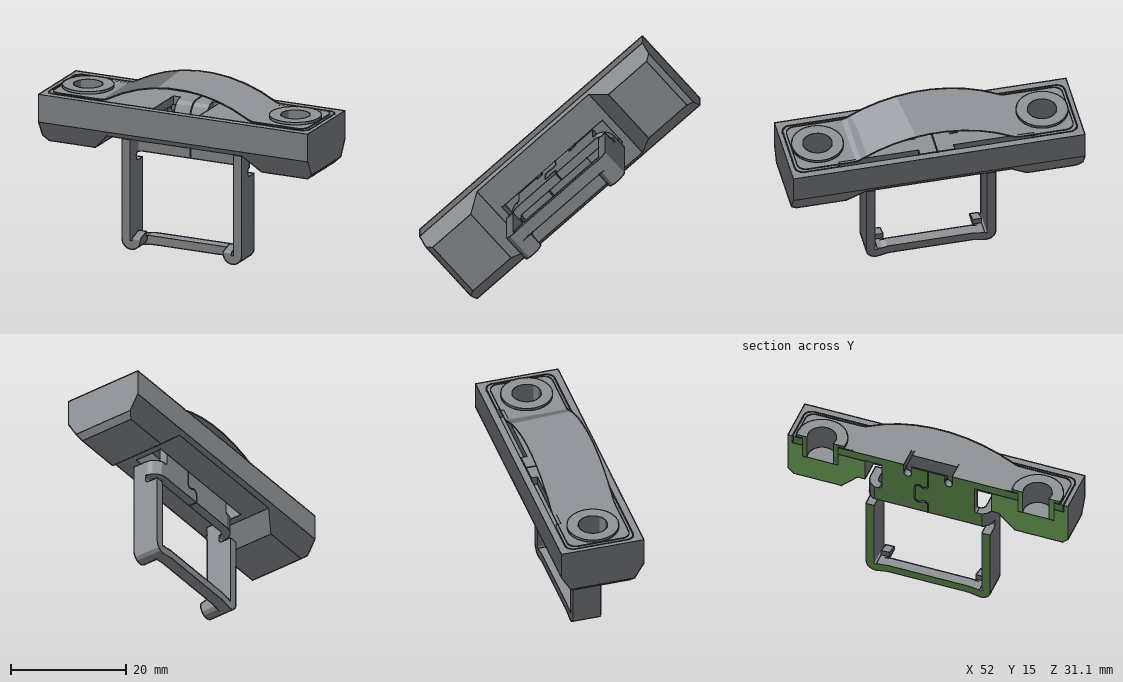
import cadquery as cq
import math


LENGTH = 52.0
WIDTH = 15.0
SIDE_DEPTH = 5.05
FOOT_DEPTH = 8.95
BRIDGE_DEPTH = 5.95
BOTTOM_WIDTH = 10.5
END_CHAMFER = 1.05
FOOT_INNER_X = 16.05
RECESS_LENGTH = 50.45
RECESS_WIDTH = 12.5
RECESS_RADIUS = 1.55
FIT_GAP = 0.15

SHEET = 1.55
BEND_INNER = 0.95
BEND_OUTER = BEND_INNER + SHEET
WINDOW_HALF = 4.45
SIDE_CUT_HALF = 17.3
SIDE_CUT_Y = 5.0
CUT_CORNER_RADIUS = 0.6
TONGUE_HALF = 3.1
WALL_BACK = 1.05
WALL_FRONT = WALL_BACK - SHEET
WALL_BOTTOM = -10.05
WALL_HALF = 9.05
UPPER_WALL_HALF = 8.65
RELIEF_RADIUS = 0.45
WALL_TOP = -SHEET
TONGUE_RELIEF_DEPTH = -2.55
LEG_OUTER = WALL_HALF + BEND_OUTER
LEG_INNER = LEG_OUTER - SHEET
LEG_FRONT = -4.0
LEG_TOP = -7.05
LEG_NOTCH = 1.55
LEG_NOTCH_RADIUS = 0.6

HOOK_RADIUS = 1.75
HOOK_GAP_RADIUS = HOOK_RADIUS - SHEET
CLIP_BOTTOM = -27.05
HOOK_Z = CLIP_BOTTOM + HOOK_RADIUS
HOOK_X = LEG_OUTER - HOOK_RADIUS
TIP_OUTER = HOOK_X - HOOK_GAP_RADIUS
TIP_INNER = TIP_OUTER - SHEET
TIP_TOP = -24.25
TIP_BACK = -1.45
TIP_FRONT_TOP = -24.95
TIP_NOSE_RADIUS = 0.35
BAR_TOP = -25.05
BAR_HALF = 7.4
BAR_FRONT = -1.05

SEAM_STEP = 2.45
SEAM_ARC_RADIUS = 0.75
SEAM_UPPER_Z = -4.25
SEAM_LOWER_Z = -7.8

SLOT_HALF = LEG_OUTER + FIT_GAP
SLOT_FRONT = -3.35
SLOT_BACK = WALL_BACK + BEND_INNER

SPRING_TOP = 4.05
SPRING_SHEET = 0.15
SPRING_WIDTH = 11.25
SPRING_HALF = 24.6
SPRING_CORNER = 1.55
ARCH_HALF = 13.45
ARCH_START_Z = 0.5

BUSHING_X = 20.0
FLANGE_RADIUS = 4.5
FLANGE_TOP = 0.6
SHANK_RADIUS = 3.4
BORE_RADIUS = 2.55
BUSHING_BOTTOM = -4.15


def box(x0, x1, y0, y1, z0, z1):
    """Box given by its limits."""
    return cq.Workplane("XY").box(x1 - x0, y1 - y0, z1 - z0, centered=False).translate((x0, y0, z0))


def on_xz(y):
    """XZ work plane at the given Y, facing -Y; a negative extrusion goes toward +Y."""
    return cq.Workplane(cq.Plane(origin=(0, y, 0), xDir=(1, 0, 0), normal=(0, -1, 0)))


def quarter_bend(inner, outer, length):
    """Quarter tube along Z from Z = 0, around the origin, in the +X +Y quadrant."""
    ring = cq.Workplane("XY").circle(outer).circle(inner).extrude(length)
    return ring.intersect(box(0, outer, 0, outer, 0, length))


def both_sides(solid):
    """The solid and its mirror image across X = 0, as one."""
    return solid.union(solid.mirror("YZ"))


def bushing_shape(x, bore):
    """Flanged bushing; without its bore it is also the cutter for its seat."""
    shank = cq.Workplane("XY").workplane(offset=BUSHING_BOTTOM).circle(SHANK_RADIUS)
    shank = shank.extrude(FLANGE_TOP - BUSHING_BOTTOM)
    flange = cq.Workplane("XY").workplane(offset=SPRING_SHEET).circle(FLANGE_RADIUS)
    shape = shank.union(flange.extrude(FLANGE_TOP - SPRING_SHEET))
    if bore:
        hole = cq.Workplane("XY").workplane(offset=BUSHING_BOTTOM).circle(BORE_RADIUS)
        shape = shape.cut(hole.extrude(FLANGE_TOP - BUSHING_BOTTOM))
    return shape.translate((x, 0, 0))


def cut_bushing_seats(body):
    for side in (-1, 1):
        body = body.cut(bushing_shape(side * BUSHING_X, bore=False))
    return body


def make_housing():
    half = LENGTH / 2
    foot_rise = FOOT_DEPTH - BRIDGE_DEPTH
    right_outline = [
        (half, 0),
        (half, -FOOT_DEPTH + END_CHAMFER),
        (half - END_CHAMFER, -FOOT_DEPTH),
        (FOOT_INNER_X, -FOOT_DEPTH),
        (FOOT_INNER_X - foot_rise, -BRIDGE_DEPTH),
    ]
    left_outline = [(-x, z) for x, z in reversed(right_outline)]
    body = on_xz(-WIDTH / 2).polyline(right_outline + left_outline).close().extrude(-WIDTH)
    cross_section = [
        (-WIDTH / 2, 0),
        (WIDTH / 2, 0),
        (WIDTH / 2, -SIDE_DEPTH),
        (BOTTOM_WIDTH / 2, -FOOT_DEPTH),
        (-BOTTOM_WIDTH / 2, -FOOT_DEPTH),
        (-WIDTH / 2, -SIDE_DEPTH),
    ]
    tapered = cq.Workplane("YZ").polyline(cross_section).close().extrude(half, both=True)
    body = body.intersect(tapered)
    recess = box(-RECESS_LENGTH / 2, RECESS_LENGTH / 2, -RECESS_WIDTH / 2, RECESS_WIDTH / 2, -SHEET, 0)
    body = body.cut(recess.edges("|Z").fillet(RECESS_RADIUS))
    body = body.cut(box(-SLOT_HALF, SLOT_HALF, SLOT_FRONT, SLOT_BACK, -FOOT_DEPTH, 0))
    return cut_bushing_seats(body)


def make_top_plate():
    """Flat plate in the recess, with its front window and the cuts beside the tongue."""
    half_x = RECESS_LENGTH / 2 - FIT_GAP
    half_y = RECESS_WIDTH / 2 - FIT_GAP
    plate = box(-half_x, half_x, -half_y, half_y, -SHEET, 0)
    plate = plate.edges("|Z").fillet(RECESS_RADIUS - FIT_GAP)
    bend_start = WALL_FRONT + BEND_OUTER
    plate = plate.cut(box(-WINDOW_HALF, WINDOW_HALF, -half_y, bend_start, -SHEET, 0))
    side_cut = box(TONGUE_HALF, SIDE_CUT_HALF, SIDE_CUT_Y, half_y, -SHEET, 0)
    plate = plate.cut(both_sides(side_cut))
    corners = cq.selectors.BoxSelector(
        (-SIDE_CUT_HALF - 0.5, half_y - 0.5, -SHEET), (SIDE_CUT_HALF + 0.5, half_y + 0.5, 0)
    )
    outer_corners = plate.edges("|Z").edges(corners).edges("<X or >X")
    return outer_corners.fillet(CUT_CORNER_RADIUS)


def make_wall():
    """Upright wall with the bend that joins it to the top plate."""
    tongue_bend = quarter_bend(BEND_INNER, BEND_OUTER, 2 * TONGUE_HALF)
    tongue_bend = tongue_bend.rotate((0, 0, 0), (0, 1, 0), -90)
    tongue_bend = tongue_bend.mirror("XZ").translate((TONGUE_HALF, WALL_FRONT + BEND_OUTER, -BEND_OUTER))
    upper = box(-UPPER_WALL_HALF, UPPER_WALL_HALF, WALL_FRONT, WALL_BACK, LEG_TOP, WALL_TOP)
    upper = upper.cut(box(-TONGUE_HALF, TONGUE_HALF, WALL_FRONT, WALL_BACK, -BEND_OUTER, WALL_TOP))
    lower = box(-WALL_HALF, WALL_HALF, WALL_FRONT, WALL_BACK, WALL_BOTTOM, LEG_TOP)
    wall = upper.union(lower)
    relief = on_xz(WALL_FRONT).center(UPPER_WALL_HALF + RELIEF_RADIUS, LEG_TOP + RELIEF_RADIUS)
    corner = box(UPPER_WALL_HALF, WALL_HALF, WALL_FRONT, WALL_BACK, LEG_TOP, LEG_TOP + RELIEF_RADIUS)
    corner = corner.cut(relief.circle(RELIEF_RADIUS).extrude(-SHEET))
    wall = wall.union(both_sides(corner))
    radius = (WINDOW_HALF - TONGUE_HALF) / 2
    groove = on_xz(WALL_FRONT).center(TONGUE_HALF + radius, TONGUE_RELIEF_DEPTH + radius)
    wall = wall.cut(both_sides(groove.circle(radius).extrude(-SHEET)))
    return wall.union(tongue_bend)


def make_tip():
    """Right tip: the upturned end of the hook, with a sloped top and a rounded nose."""
    outline = [(LEG_FRONT, HOOK_Z), (LEG_FRONT, TIP_FRONT_TOP), (TIP_BACK, TIP_TOP), (TIP_BACK, HOOK_Z)]
    tip = cq.Workplane("YZ").workplane(offset=TIP_INNER).polyline(outline).close().extrude(SHEET)
    nose = cq.selectors.NearestToPointSelector((HOOK_X, LEG_FRONT, TIP_FRONT_TOP))
    return tip.edges("|X").edges(nose).fillet(TIP_NOSE_RADIUS)


def make_half_bar():
    """Right half of the cross bar, which bends down and runs on at a tangent into the hook."""
    bend_z = BAR_TOP - BEND_OUTER
    hook_dx = HOOK_X - BAR_HALF
    hook_dz = HOOK_Z - bend_z
    middle_radii = BEND_INNER + HOOK_GAP_RADIUS + SHEET
    slope = math.asin(middle_radii / math.hypot(hook_dx, hook_dz)) - math.atan2(hook_dz, hook_dx)

    def on_bend(radius, angle):
        return (BAR_HALF + radius * math.sin(angle), bend_z + radius * math.cos(angle))

    def on_hook(radius):
        return (HOOK_X - radius * math.sin(slope), HOOK_Z - radius * math.cos(slope))

    bar = on_xz(BAR_FRONT).moveTo(0, BAR_TOP).lineTo(BAR_HALF, BAR_TOP)
    bar = bar.threePointArc(on_bend(BEND_OUTER, slope / 2), on_bend(BEND_OUTER, slope))
    bar = bar.lineTo(*on_hook(HOOK_GAP_RADIUS)).lineTo(*on_hook(HOOK_RADIUS))
    bar = bar.lineTo(*on_bend(BEND_INNER, slope))
    bar = bar.threePointArc(on_bend(BEND_INNER, slope / 2), on_bend(BEND_INNER, 0))
    return bar.lineTo(0, BAR_TOP - SHEET).close().extrude(BAR_FRONT - WALL_BACK)


def make_leg():
    """Right leg with its bend to the wall, hook, tip and half of the cross bar."""
    bend_y = WALL_BACK - BEND_OUTER
    bend = quarter_bend(BEND_INNER, BEND_OUTER, LEG_TOP - WALL_BOTTOM)
    leg = bend.translate((WALL_HALF, bend_y, WALL_BOTTOM))
    leg = leg.union(box(LEG_INNER, LEG_OUTER, LEG_FRONT, bend_y, HOOK_Z, LEG_TOP))
    leg = leg.union(box(LEG_INNER, LEG_OUTER, bend_y, WALL_BACK, HOOK_Z, WALL_BOTTOM))
    notch = box(LEG_INNER, LEG_OUTER, bend_y, WALL_BACK, WALL_BOTTOM - LEG_NOTCH, WALL_BOTTOM)
    leg = leg.cut(notch.edges("|X and <Y").fillet(LEG_NOTCH_RADIUS))

    leg_width = WALL_BACK - LEG_FRONT
    hook = on_xz(LEG_FRONT).center(HOOK_X, HOOK_Z).circle(HOOK_RADIUS).circle(HOOK_GAP_RADIUS)
    lower_half = box(TIP_INNER, LEG_OUTER, LEG_FRONT, WALL_BACK, CLIP_BOTTOM, HOOK_Z)
    leg = leg.union(hook.extrude(-leg_width).intersect(lower_half))
    return leg.union(make_tip()).union(make_half_bar())


def seam_arc(x, z, start, end):
    """Curved stretch of the seam, as a cutter through the wall; angles are in the XZ plane."""
    def point(radius, angle):
        return (x + radius * math.cos(angle), z + radius * math.sin(angle))

    inner = SEAM_ARC_RADIUS - FIT_GAP / 2
    outer = SEAM_ARC_RADIUS + FIT_GAP / 2
    middle = (start + end) / 2
    outline = on_xz(WALL_FRONT).moveTo(*point(outer, start))
    outline = outline.threePointArc(point(outer, middle), point(outer, end)).lineTo(*point(inner, end))
    return outline.threePointArc(point(inner, middle), point(inner, start)).close().extrude(-SHEET)


def make_seam():
    """Seam down the tongue and wall, which steps aside and back so that the halves interlock."""
    reach = SEAM_STEP / 2 - SEAM_ARC_RADIUS
    rise = math.sqrt(SEAM_ARC_RADIUS**2 - reach**2)
    meeting_angle = math.acos(reach / SEAM_ARC_RADIUS)

    def straight(x, z0, z1, y1=WALL_BACK):
        return box(x - FIT_GAP / 2, x + FIT_GAP / 2, WALL_FRONT, y1, z0, z1)

    seam = straight(0, SEAM_UPPER_Z + rise, 0, RECESS_WIDTH / 2)
    seam = seam.union(straight(SEAM_STEP, SEAM_LOWER_Z + rise, SEAM_UPPER_Z - rise))
    seam = seam.union(straight(0, WALL_BOTTOM, SEAM_LOWER_Z - rise))
    far_x = SEAM_STEP - SEAM_ARC_RADIUS
    near_x = SEAM_ARC_RADIUS
    half_turn = math.pi
    for step_z, up in ((SEAM_LOWER_Z, 1), (SEAM_UPPER_Z, -1)):
        far_end = -up * (half_turn - meeting_angle)
        near_start = up * meeting_angle
        seam = seam.union(seam_arc(far_x, step_z + up * rise, 0, far_end))
        seam = seam.union(seam_arc(near_x, step_z - up * rise, near_start, up * half_turn))
    return seam


def make_clip():
    clip = make_top_plate().union(make_wall()).union(both_sides(make_leg()))
    return cut_bushing_seats(clip.cut(make_seam()))


def make_spring():
    """Thin strip with flat ends, small bends and an arch between them."""
    arch_angle = 2 * math.atan((SPRING_TOP - ARCH_START_Z) / ARCH_HALF)
    arch_radius = ARCH_HALF / math.sin(arch_angle)
    arch_z = SPRING_TOP - arch_radius
    bend_radius = (ARCH_START_Z - SPRING_SHEET) / (1 - math.cos(arch_angle))
    bend_x = ARCH_HALF + bend_radius * math.sin(arch_angle)
    bend_z = SPRING_SHEET + bend_radius

    def on_arch(depth, angle):
        radius = arch_radius - depth
        return (radius * math.sin(angle), arch_z + radius * math.cos(angle))

    def on_bend(depth, angle, side):
        radius = bend_radius + depth
        return (side * (bend_x - radius * math.sin(angle)), bend_z - radius * math.cos(angle))

    def face_path(start, depth, side):
        """One face of the strip, drawn from the end on the given side to the other end."""
        path = start.lineTo(side * bend_x, SPRING_SHEET - depth)
        path = path.threePointArc(on_bend(depth, arch_angle / 2, side), on_bend(depth, arch_angle, side))
        path = path.threePointArc(on_arch(depth, 0), on_arch(depth, -side * arch_angle))
        path = path.threePointArc(on_bend(depth, arch_angle / 2, -side), on_bend(depth, 0, -side))
        return path.lineTo(-side * SPRING_HALF, SPRING_SHEET - depth)

    outline = on_xz(-SPRING_WIDTH / 2).moveTo(-SPRING_HALF, SPRING_SHEET)
    outline = face_path(outline, 0, -1).lineTo(SPRING_HALF, 0)
    outline = face_path(outline, SPRING_SHEET, 1).close()
    strip = outline.extrude(-SPRING_WIDTH)
    blank = box(-SPRING_HALF, SPRING_HALF, -SPRING_WIDTH / 2, SPRING_WIDTH / 2, 0, SPRING_TOP)
    return cut_bushing_seats(strip.intersect(blank.edges("|Z").fillet(SPRING_CORNER)))


housing = make_housing()
clip = make_clip()
spring = make_spring()
bushings = [bushing_shape(side * BUSHING_X, bore=True).val() for side in (-1, 1)]

result = cq.Compound.makeCompound([housing.val(), clip.val(), spring.val(), *bushings])